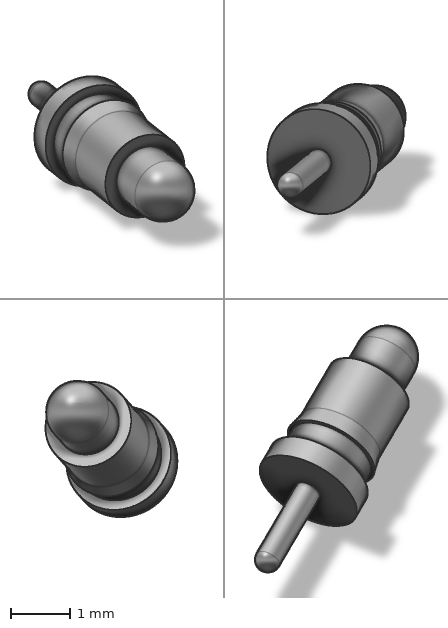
import cadquery as cq

total_length = 5.25

tail_radius = 0.22
flange_diameter = 1.83
flange_radius = flange_diameter / 2
barrel_radius = 0.75
barb_radius = 0.82
plunger_radius = 0.535

flange_start = 1.75
flange_thickness = 0.415
barb_start = 2.615
barb_length = 0.33
barrel_end = 4.055

flange_end = flange_start + flange_thickness
barb_end = barb_start + barb_length
tail_dome_end = tail_radius
plunger_dome_start = total_length - plunger_radius

DIAGONAL = 0.5 ** 0.5
tail_dome_middle = (tail_radius * (1 - DIAGONAL), tail_radius * DIAGONAL)
plunger_dome_middle = (
    plunger_dome_start + plunger_radius * DIAGONAL,
    plunger_radius * DIAGONAL,
)

profile = (
    cq.Workplane("XY")
    .moveTo(0, 0)
    .threePointArc(tail_dome_middle, (tail_dome_end, tail_radius))
    .lineTo(flange_start, tail_radius)
    .lineTo(flange_start, flange_radius)
    .lineTo(flange_end, flange_radius)
    .lineTo(flange_end, barrel_radius)
    .lineTo(barb_start, barrel_radius)
    .lineTo(barb_start, barb_radius)
    .lineTo(barb_end, barrel_radius)
    .lineTo(barrel_end, barrel_radius)
    .lineTo(barrel_end, plunger_radius)
    .lineTo(plunger_dome_start, plunger_radius)
    .threePointArc(plunger_dome_middle, (total_length, 0))
    .close()
)

result = profile.revolve(360, (0, 0, 0), (1, 0, 0))